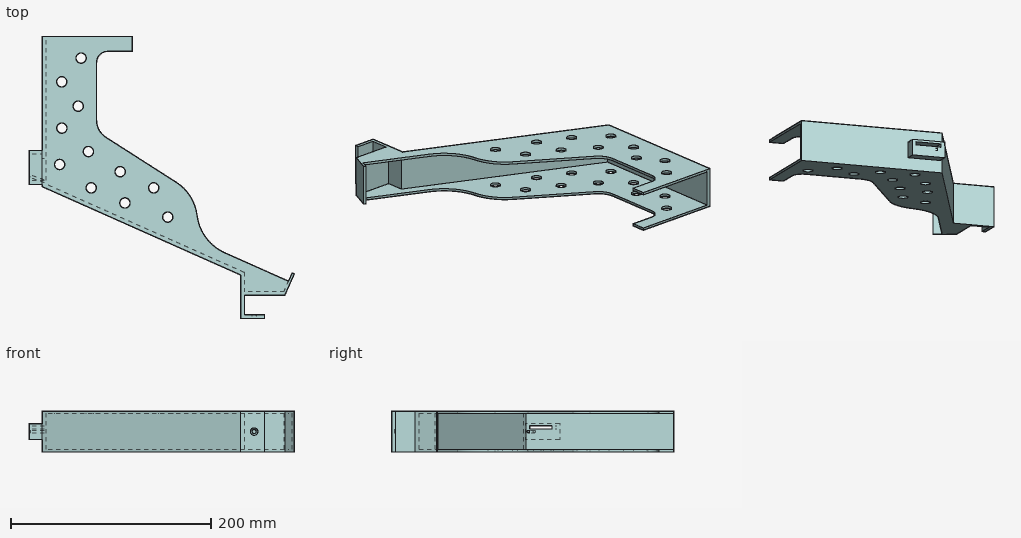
import cadquery as cq
import math

HEIGHT = 41.0
LENGTH_X = 264.81
LENGTH_Y = 281.72
PLATE = 2.5
WALL = 4.0
SLANT = math.radians(24.0)

BLOCK_DEPTH = 13.0
BLOCK_WIDTH = 34.3
BLOCK_HEIGHT = 16.0
BLOCK_GAP = 2.1
SLOT_WIDTH = 26.4
SLOT_HEIGHT = 3.2
SLOT_SIDE_MARGIN = 4.2
SLOT_TOP_MARGIN = 2.2
WINDOW_WIDTH = 22.0

PILOT_DIAMETER = 2.55
PILOT_TILT = 20.0
PILOT_MARGIN = 8.5
PILOT_SKIN = 1.0

LEFT_WALL_LENGTH = 150.0
COLUMN_WIDTH = 54.5
ARM_REACH = 90.2
ARM_WIDTH = 15.0
ARM_FILLET = 11.0
ELBOW_FILLET = 20.0

BRANCH_SLOPE = math.radians(32.6)
BRANCH_START_Y = 187.0
SHOULDER_X = 133.9
SHOULDER_RADIUS = 46.0
NECK_RADIUS = 47.0
TAIL_WIDTH = 14.0

HOOK_X = 198.1
HOOK_THICKNESS = 4.0
HOOK_REACH = 24.0
HOOK_GAP = 19.3
TAB_THICKNESS = 2.5
TAB_LENGTH = 23.5
SCREW_X = 211.6
SCREW_DIAMETER = 4.0
SCREW_HEAD_DIAMETER = 7.5
COUNTERSINK_ANGLE = 60.0

HOLE_DIAMETER = 10.0
HOLE_CENTRES = [
    (38.9, 260.1),
    (19.6, 236.4),
    (36.0, 212.1),
    (19.7, 190.2),
    (46.2, 166.8),
    (17.5, 153.9),
    (77.9, 146.7),
    (49.0, 130.6),
    (111.4, 130.6),
    (82.7, 115.5),
    (125.4, 101.4),
]

CORNER_Y = LENGTH_Y - LEFT_WALL_LENGTH
TAIL_BOTTOM_Y = HOOK_THICKNESS + HOOK_GAP
TAB_TIP_X = LENGTH_X - BLOCK_DEPTH

OVERSHOOT = 50.0


def lower_edge_y(x, inset=0.0):
    """Y of the slanted lower edge at x, moved inwards by inset."""
    return CORNER_Y - x * math.tan(SLANT) + inset / math.cos(SLANT)


def branch_edge_y(x):
    """Y of the straight upper edge of the branch at x."""
    return BRANCH_START_Y - (x - COLUMN_WIDTH) * math.tan(BRANCH_SLOPE)


def prism(outline, height):
    """Extrude a closed outline symmetrically about Z = 0."""
    return outline.extrude(height / 2, both=True)


def shifted(point, direction, distance):
    """Point moved by a distance along a unit direction."""
    return (point[0] + distance * direction[0], point[1] + distance * direction[1])


DOWN_SLANT = (math.cos(SLANT), -math.sin(SLANT))
OFF_SLANT = (math.sin(SLANT), math.cos(SLANT))
OFF_BRANCH = (math.sin(BRANCH_SLOPE), math.cos(BRANCH_SLOPE))

TAB_FOOT = (TAB_TIP_X - TAB_LENGTH * OFF_SLANT[0], TAIL_BOTTOM_Y)
TAB_TIP = shifted(TAB_FOOT, OFF_SLANT, TAB_LENGTH)
TAB_INNER_FOOT_X = TAB_FOOT[0] - TAB_THICKNESS / math.cos(SLANT)


def shoulder_points():
    """Start of the shoulder arc, its joint with the neck arc, and the end of the neck arc."""
    start = (SHOULDER_X, branch_edge_y(SHOULDER_X))
    shoulder_centre = shifted(start, OFF_BRANCH, -SHOULDER_RADIUS)

    base = (0.0, lower_edge_y(0.0, TAIL_WIDTH + NECK_RADIUS))
    dx = base[0] - shoulder_centre[0]
    dy = base[1] - shoulder_centre[1]
    along = dx * DOWN_SLANT[0] + dy * DOWN_SLANT[1]
    square = dx * OFF_SLANT[0] + dy * OFF_SLANT[1]
    radius_sum = SHOULDER_RADIUS + NECK_RADIUS
    neck_centre = shifted(base, DOWN_SLANT, math.sqrt(radius_sum**2 - square**2) - along)

    share = SHOULDER_RADIUS / radius_sum
    joint = (
        shoulder_centre[0] + share * (neck_centre[0] - shoulder_centre[0]),
        shoulder_centre[1] + share * (neck_centre[1] - shoulder_centre[1]),
    )
    end = shifted(neck_centre, OFF_SLANT, -NECK_RADIUS)
    return start, joint, end


def make_body():
    """Full-height prism of the plate outline, without hook, tab or block."""
    shoulder_start, arc_joint, neck_end = shoulder_points()
    foot_to_edge = TAIL_BOTTOM_Y - lower_edge_y(TAB_FOOT[0])
    tail_end = shifted(TAB_FOOT, OFF_SLANT, TAIL_WIDTH - foot_to_edge * math.cos(SLANT))
    arm_bottom = LENGTH_Y - ARM_WIDTH
    outline = (
        cq.Workplane("XY")
        .moveTo(0, CORNER_Y)
        .lineTo(0, LENGTH_Y)
        .lineTo(ARM_REACH, LENGTH_Y)
        .lineTo(ARM_REACH, arm_bottom)
        .lineTo(COLUMN_WIDTH, arm_bottom)
        .lineTo(COLUMN_WIDTH, BRANCH_START_Y)
        .lineTo(*shoulder_start)
        .tangentArcPoint(arc_joint, relative=False)
        .tangentArcPoint(neck_end, relative=False)
        .lineTo(*tail_end)
        .lineTo(*TAB_FOOT)
        .lineTo(HOOK_X, TAIL_BOTTOM_Y)
        .lineTo(HOOK_X, lower_edge_y(HOOK_X))
        .close()
    )
    body = prism(outline, HEIGHT)
    body = fillet_upright_edge(body, COLUMN_WIDTH, arm_bottom, ARM_FILLET)
    return fillet_upright_edge(body, COLUMN_WIDTH, BRANCH_START_Y, ELBOW_FILLET)


def fillet_upright_edge(body, x, y, radius):
    """Round the edge parallel to Z that passes through (x, y)."""
    edge = cq.selectors.NearestToPointSelector((x, y, 0))
    return body.edges("|Z").edges(edge).fillet(radius)


def make_cavity():
    """Space between the plates, open along the column, branch and arm edges."""
    inner_foot_x = TAB_INNER_FOOT_X + WALL * math.tan(SLANT)
    inner_foot = (inner_foot_x, TAIL_BOTTOM_Y + WALL)
    hook_inner_x = HOOK_X + HOOK_THICKNESS
    outline = cq.Workplane("XY").polyline(
        [
            (WALL, LENGTH_Y + OVERSHOOT),
            (WALL, lower_edge_y(WALL, WALL)),
            (hook_inner_x, lower_edge_y(hook_inner_x, WALL)),
            (hook_inner_x, inner_foot[1]),
            inner_foot,
            shifted(inner_foot, OFF_SLANT, OVERSHOOT),
            (TAB_TIP_X, LENGTH_Y + OVERSHOOT),
        ]
    )
    return prism(outline.close(), HEIGHT - 2 * PLATE)


def make_tab():
    """End wall of the tail, running on past the tail's upper edge."""
    inner_tip = shifted(TAB_TIP, DOWN_SLANT, -TAB_THICKNESS)
    outline = cq.Workplane("XY").polyline([TAB_FOOT, TAB_TIP, inner_tip, (TAB_INNER_FOOT_X, TAIL_BOTTOM_Y)])
    return prism(outline.close(), HEIGHT)


def make_hook():
    """L-shaped strip hanging below the tail, with a countersunk screw hole."""
    outline = cq.Workplane("XY").polyline(
        [
            (HOOK_X, TAIL_BOTTOM_Y),
            (HOOK_X, 0),
            (HOOK_X + HOOK_REACH, 0),
            (HOOK_X + HOOK_REACH, HOOK_THICKNESS),
            (HOOK_X + HOOK_THICKNESS, HOOK_THICKNESS),
            (HOOK_X + HOOK_THICKNESS, TAIL_BOTTOM_Y),
        ]
    )
    hook = prism(outline.close(), HEIGHT)
    return (
        hook.faces("<Y")
        .workplane(origin=(SCREW_X, 0, 0))
        .cskHole(SCREW_DIAMETER, SCREW_HEAD_DIAMETER, COUNTERSINK_ANGLE, HOOK_THICKNESS)
    )


def box(x_range, y_range, z_range):
    """Block spanning the given low and high limits."""
    size = [high - low for low, high in (x_range, y_range, z_range)]
    return cq.Workplane("XY").box(*size, centered=False).translate((x_range[0], y_range[0], z_range[0]))


def add_slotted_block(body):
    """Block on the left wall; its slot narrows to a window through the wall."""
    block_start = CORNER_Y + BLOCK_GAP
    half_height = BLOCK_HEIGHT / 2
    slot_start = block_start + SLOT_SIDE_MARGIN
    slot_top = half_height - SLOT_TOP_MARGIN
    slot_z = (slot_top - SLOT_HEIGHT, slot_top)

    block = box((-BLOCK_DEPTH, 0), (block_start, block_start + BLOCK_WIDTH), (-half_height, half_height))
    slot = box((-BLOCK_DEPTH, 0), (slot_start, slot_start + SLOT_WIDTH), slot_z)
    window = box((0, WALL), (slot_start, slot_start + WINDOW_WIDTH), slot_z)
    return body.union(block).cut(slot).cut(window)


def make_pilot_hole():
    """Tilted drill, ending just under the outer face of the block."""
    drill_length = (BLOCK_DEPTH + WALL) / math.cos(math.radians(PILOT_TILT)) + PILOT_DIAMETER
    drill = cq.Workplane("YZ").circle(PILOT_DIAMETER / 2).extrude(drill_length)
    drill = drill.rotate((0, 0, 0), (0, 0, 1), -PILOT_TILT)
    return drill.translate((PILOT_SKIN - BLOCK_DEPTH, CORNER_Y + BLOCK_GAP + PILOT_MARGIN, 0))


def make_lightening_holes():
    """Round cutters reaching through both plates."""
    return prism(cq.Workplane("XY").pushPoints(HOLE_CENTRES).circle(HOLE_DIAMETER / 2), HEIGHT)


frame = make_body().cut(make_cavity()).cut(make_lightening_holes())
frame = frame.union(make_tab()).union(make_hook())
result = add_slotted_block(frame).cut(make_pilot_hole()).clean()